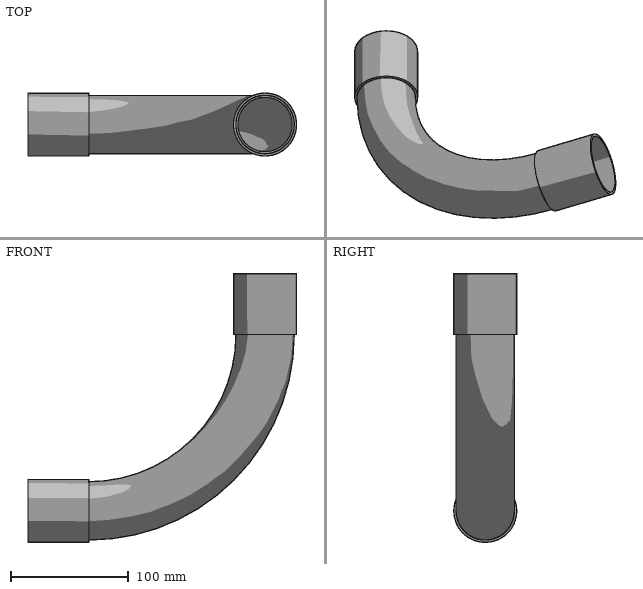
import cadquery as cq

overall_size = 228.8
socket_outer_diameter = 53.8
socket_bore_diameter = 49.5
socket_length = 52.0
pipe_outer_diameter = 50.0
pipe_bore_diameter = 46.2

socket_radius = socket_outer_diameter / 2
bend_radius = overall_size - socket_length - socket_radius
bend_start_x = socket_length
axis_z = socket_radius
axis_x = overall_size - socket_radius
bend_end_z = overall_size - socket_length

left_end = cq.Plane(origin=(bend_start_x, 0, axis_z), xDir=(0, -1, 0), normal=(-1, 0, 0))
top_end = cq.Plane(origin=(axis_x, 0, bend_end_z), xDir=(1, 0, 0), normal=(0, 0, 1))


def bend(diameter):
    """Solid quarter-turn bend about an axis parallel to Y."""
    return (
        cq.Workplane(left_end)
        .circle(diameter / 2)
        .revolve(90, (0, bend_radius, 0), (1, bend_radius, 0))
    )


def straight(end, diameter):
    """Solid cylinder from one bend end to its socket mouth."""
    return cq.Workplane(end).circle(diameter / 2).extrude(socket_length)


body = bend(pipe_outer_diameter)
for end in (left_end, top_end):
    body = body.union(straight(end, socket_outer_diameter))

body = body.cut(bend(pipe_bore_diameter))
for end in (left_end, top_end):
    body = body.cut(straight(end, socket_bore_diameter))

result = body